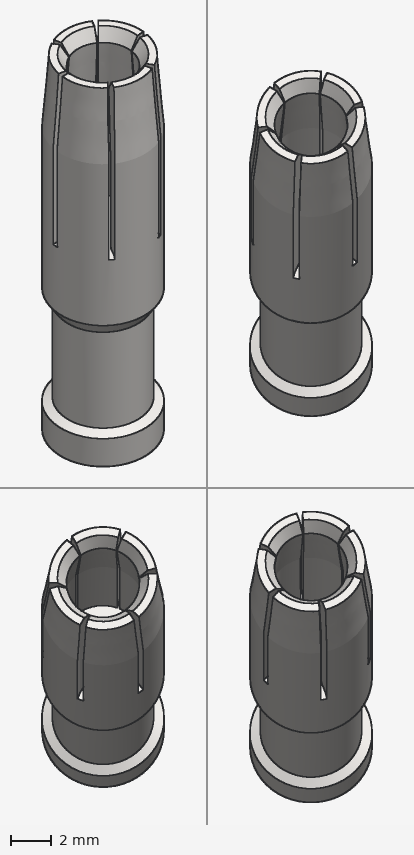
import cadquery as cq

length = 23.5
body_radius = 2.996

collar_height = 1.76
collar_chamfer_height = 0.25
neck_radius = 2.5
neck_top = 8.04
shoulder_height = 0.82

taper_start = 18.99
taper_middle = 21.5
middle_radius = 2.8
tip_radius = 2.65

throat_radius = 1.79
mouth_radius = 2.23
mouth_depth = 0.7
wall_thickness = 0.92
bore_radius = body_radius - wall_thickness

slot_count = 6
slot_first_angle = 30.0
slot_length = 10.53
slot_width = 0.3
slot_kink_radius = 2.65
slot_throat_width = 0.05
slot_overrun = 0.24
slot_bottom = length - slot_length
bore_floor = slot_bottom


def turned_body():
    """Collar, neck, shoulder, body and tapered tip as one turned solid."""
    profile = [
        (0, 0),
        (body_radius, 0),
        (body_radius, collar_height),
        (neck_radius, collar_height + collar_chamfer_height),
        (neck_radius, neck_top),
        (body_radius, neck_top + shoulder_height),
        (body_radius, taper_start),
        (middle_radius, taper_middle),
        (tip_radius, length),
        (0, length),
    ]
    return cq.Workplane("XZ").polyline(profile).close().revolve(360, (0, 0, 0), (0, 1, 0))


def socket_bore():
    """Blind bore whose wall follows the tapered tip and flares at the mouth."""
    profile = [
        (0, bore_floor),
        (bore_radius, bore_floor),
        (bore_radius, taper_start),
        (middle_radius - wall_thickness, taper_middle),
        (throat_radius, length - mouth_depth),
        (mouth_radius, length),
        (0, length),
    ]
    return cq.Workplane("XZ").polyline(profile).close().revolve(360, (0, 0, 0), (0, 1, 0))


def finger_slot(angle):
    """Slot through the wall at the given angle: parallel outside, narrowing towards the bore."""
    half_width = slot_width / 2
    half_throat = slot_throat_width / 2
    narrowing = (half_width - half_throat) / (slot_kink_radius - throat_radius)
    apex_radius = throat_radius - half_throat / narrowing
    reach = body_radius + slot_overrun
    outline = [
        (apex_radius, 0),
        (slot_kink_radius, -half_width),
        (reach, -half_width),
        (reach, half_width),
        (slot_kink_radius, half_width),
    ]
    slot = cq.Workplane("XY").workplane(offset=slot_bottom).polyline(outline).close().extrude(slot_length)
    return slot.rotate((0, 0, 0), (0, 0, 1), angle)


result = turned_body().cut(socket_bore())
for index in range(slot_count):
    result = result.cut(finger_slot(slot_first_angle + index * 360 / slot_count))